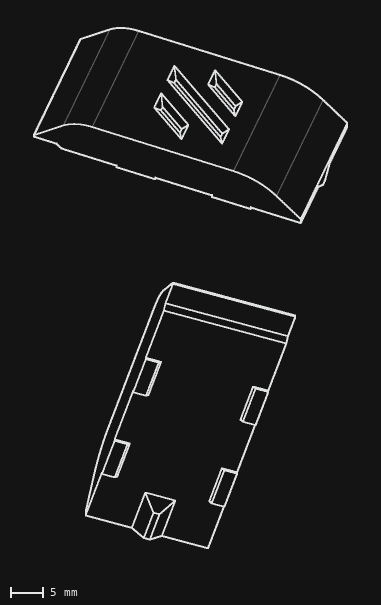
import cadquery as cq
import math

length = 44.55
width = 20.0
body_height = 8.1
half_width = width / 2

top_start = 9.7
top_end = 33.3
left_radius = 6.8
right_radius = 10.15
slope_angle = math.radians(45)
lip_bottom = 0.85
lip_length = 3.8

pad_length = 6.45
pad_starts = (13.8, 29.7)
pad_height = 0.4
pad_width = 2.1

key_height = 1.95
key_start = 37.65
key_tip_width = 1.0

slot_center_x = 23.55
slot_half_span = 6.2
slot_side = 3.0
slot_slope = 0.68
slot_inset = 0.95
slot_depth = 0.95


def arc_point(tangent_x, radius, direction, angle):
    """Point on an end arc, turned by an angle from its tangency with the top."""
    return (
        tangent_x + direction * radius * math.sin(angle),
        body_height - radius * (1 - math.cos(angle)),
    )


def make_body():
    left_end = arc_point(top_start, left_radius, -1, slope_angle)
    left_middle = arc_point(top_start, left_radius, -1, slope_angle / 2)
    right_end = arc_point(top_end, right_radius, 1, slope_angle)
    right_middle = arc_point(top_end, right_radius, 1, slope_angle / 2)
    left_nose_z = left_end[1] - left_end[0]
    right_nose_z = right_end[1] - (length - right_end[0])
    return (
        cq.Workplane("XZ")
        .moveTo(0, lip_bottom)
        .lineTo(0, left_nose_z)
        .lineTo(*left_end)
        .threePointArc(left_middle, (top_start, body_height))
        .lineTo(top_end, body_height)
        .threePointArc(right_middle, right_end)
        .lineTo(length, right_nose_z)
        .lineTo(length, 0)
        .lineTo(lip_length + lip_bottom, 0)
        .lineTo(lip_length, lip_bottom)
        .close()
        .extrude(half_width, both=True)
    )


def make_pad(start_x, side):
    """Edge pad whose inner side slopes at 45 degrees."""
    outer_y = side * half_width
    tip_y = side * (half_width - pad_width)
    root_y = tip_y - side * pad_height
    return (
        cq.Workplane("YZ", origin=(start_x, 0, 0))
        .polyline([(outer_y, 0), (outer_y, -pad_height), (tip_y, -pad_height), (root_y, 0)])
        .close()
        .extrude(pad_length)
    )


def make_key():
    """Ridge with 45 degree flanks and a 45 degree inner end."""
    tip_half = key_tip_width / 2
    root_half = tip_half + key_height
    ridge = (
        cq.Workplane("YZ", origin=(key_start, 0, 0))
        .polyline([(-root_half, 0), (root_half, 0), (tip_half, -key_height), (-tip_half, -key_height)])
        .close()
        .extrude(length - key_start)
    )
    end_profile = (
        cq.Workplane("XZ")
        .polyline([(key_start, 0), (length, 0), (length, -key_height), (key_start + key_height, -key_height)])
        .close()
        .extrude(root_half, both=True)
    )
    return ridge.intersect(end_profile)


def slot_outline(half_span, side):
    """Corners of an upright-sided parallelogram falling towards +X."""
    fall = half_span * slot_slope
    half_side = side / 2
    return [
        (-half_span, fall - half_side),
        (half_span, -fall - half_side),
        (half_span, -fall + half_side),
        (-half_span, fall + half_side),
    ]


def make_slot(center_x, center_y, half_span):
    """Recess whose four walls lean in by the same inset."""
    floor_side = slot_side - 2 * slot_inset * math.hypot(1, slot_slope)
    return (
        cq.Workplane("XY", origin=(center_x, center_y, body_height))
        .polyline(slot_outline(half_span, slot_side))
        .close()
        .workplane(offset=-slot_depth)
        .polyline(slot_outline(half_span - slot_inset, floor_side))
        .close()
        .loft(ruled=True)
    )


result = make_body().union(make_key())
for pad_start in pad_starts:
    for pad_side in (-1, 1):
        result = result.union(make_pad(pad_start, pad_side))

result = result.cut(make_slot(slot_center_x, 0, slot_half_span))
short_half_span = slot_half_span / 2
short_center_y = short_half_span * slot_slope + slot_side / 2
for direction in (-1, 1):
    short_center_x = slot_center_x + direction * short_half_span
    result = result.cut(make_slot(short_center_x, direction * short_center_y, short_half_span))